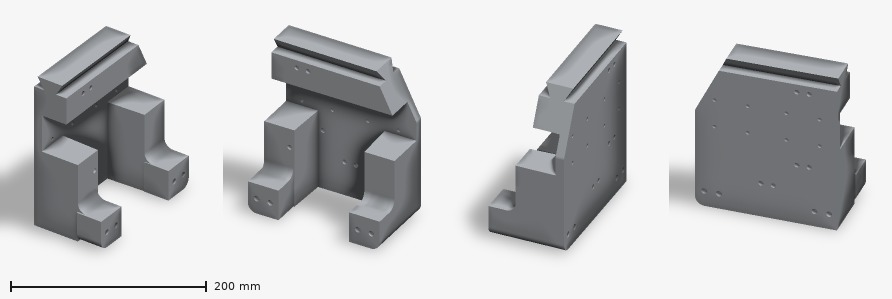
import cadquery as cq
import math

length = 85.0
height = 180.8
foot_overhang = 1.8
body_depth = 155.3 - foot_overhang

web_thickness = 9.5
head_width = 40.1
head_bottom = 135.8
shoulder_height = 167.4
rib_width = 54.6
rib_height = 92.2

dovetail_center = 19.7
dovetail_top_width = 30.7
dovetail_angle = 60.0
rail_tilt = 0.5
overshoot = 9.0

foot_width = 36.2
foot_height = 35.6
corner_radius = 10.3
pocket_front = 36.2
pocket_back = 117.3
pocket_draft = 2.5

slope_start_height = 114.0
slope_end_depth = 120.5
slope_corner_radius = 5.5

screw_diameter = 4.2
screw_depths = (132.5, 96.5, 54.6, 18.6)
screw_heights = (130.0, 98.0)
pin_diameter = 5.5
pin_spacing = 13.4
pin_pair_starts = ((30.0, 158.0), (30.0, 70.0), (68.9, 40.0))
foot_hole_diameter = 6.3
foot_hole_spacing = 15.9
foot_hole_starts = (8.5, 127.6)
foot_hole_height = 17.9


def box(x_range, y_range, z_range):
    """Axis-aligned box between the given limits."""
    size = [high - low for low, high in (x_range, y_range, z_range)]
    corner = (x_range[0], y_range[0], z_range[0])
    return cq.Workplane("XY").box(*size, centered=False).translate(corner)


def make_body():
    """Web and the full-depth lower block from which the ribs are cut."""
    lower = box((0, rib_width), (0, body_depth), (0, rib_height))
    web = box((0, web_thickness), (0, body_depth), (0, head_bottom))
    return lower.union(web)


def make_foot_fillet(start, end):
    """Concave fillet between the rib face and the top of a foot."""
    return (
        cq.Workplane("XZ", origin=(0, start, 0))
        .moveTo(rib_width, foot_height)
        .lineTo(rib_width + corner_radius, foot_height)
        .radiusArc((rib_width, foot_height + corner_radius), corner_radius)
        .close()
        .extrude(start - end)
    )


def make_pocket():
    """Opening between the ribs, widening toward +X."""
    run = length - head_width
    back_run = head_width - web_thickness
    slope = math.tan(math.radians(pocket_draft))
    return (
        cq.Workplane("XY")
        .moveTo(web_thickness, pocket_front + back_run * slope)
        .lineTo(length, pocket_front - run * slope)
        .lineTo(length, pocket_back + run * slope)
        .lineTo(web_thickness, pocket_back - back_run * slope)
        .close()
        .extrude(height)
    )


def make_head():
    """Head block carrying the dovetail, whose top follows the tilt of the rail."""
    half_top = dovetail_top_width / 2
    rail_height = height - shoulder_height
    half_neck = half_top - rail_height / math.tan(math.radians(dovetail_angle))
    block = box((0, head_width), (0, body_depth), (head_bottom, shoulder_height))
    tilt_axis = ((0, 0, height), (1, 0, height))
    dovetail = (
        cq.Workplane("XZ", origin=(0, -overshoot, 0))
        .polyline([
            (dovetail_center - half_neck, shoulder_height),
            (dovetail_center - half_top, height),
            (dovetail_center + half_top, height),
            (dovetail_center + half_neck, shoulder_height),
        ])
        .close()
        .extrude(-body_depth - overshoot)
        .rotate(*tilt_axis, -rail_tilt)
    )
    above_shoulder = box(
        (0, head_width), (-overshoot, body_depth + overshoot), (shoulder_height, height + overshoot)
    ).rotate(*tilt_axis, -rail_tilt)
    in_depth = box((0, head_width), (0, body_depth), (0, height))
    return block.cut(above_shoulder).union(dovetail).intersect(in_depth)


def make_foot(front):
    """Foot block whose front face is at the given y."""
    return box((rib_width, length), (front, front + foot_width), (0, foot_height))


def drill(solid, diameter, centers):
    """Holes along X through the whole part at (y, z) centers."""
    holes = cq.Workplane("YZ").pushPoints(centers).circle(diameter / 2).extrude(length)
    return solid.cut(holes)


def side_outline():
    """YZ outline limiting the part: sloped back and rounded lower corners."""
    outline = (
        cq.Workplane("YZ")
        .moveTo(-foot_overhang, 0)
        .lineTo(body_depth, 0)
        .lineTo(body_depth, slope_start_height)
        .lineTo(slope_end_depth, height)
        .lineTo(-foot_overhang, height)
        .close()
        .extrude(length)
    )
    slope_corner = cq.selectors.NearestToPointSelector((length / 2, body_depth, slope_start_height))
    outline = outline.edges(slope_corner).fillet(slope_corner_radius)
    return outline.edges("|X and <Z and >Y").fillet(corner_radius)


front_fillet = make_foot_fillet(0, foot_width - foot_overhang)
back_fillet = make_foot_fillet(body_depth - foot_width, body_depth)
lower_body = make_body().union(front_fillet).union(back_fillet)
result = lower_body.cut(make_pocket()).union(make_head())

front_foot = make_foot(-foot_overhang).edges("|X and <Z and <Y").fillet(corner_radius)
back_foot = make_foot(body_depth - foot_width)
result = result.union(front_foot).union(back_foot)

result = result.intersect(side_outline())

screw_centers = [(y, z) for y in screw_depths for z in screw_heights]
pin_centers = [(y + step, z) for y, z in pin_pair_starts for step in (0, pin_spacing)]
foot_centers = [(y + step, foot_hole_height) for y in foot_hole_starts for step in (0, foot_hole_spacing)]
result = drill(result, screw_diameter, screw_centers)
result = drill(result, pin_diameter, pin_centers)
result = drill(result, foot_hole_diameter, foot_centers)